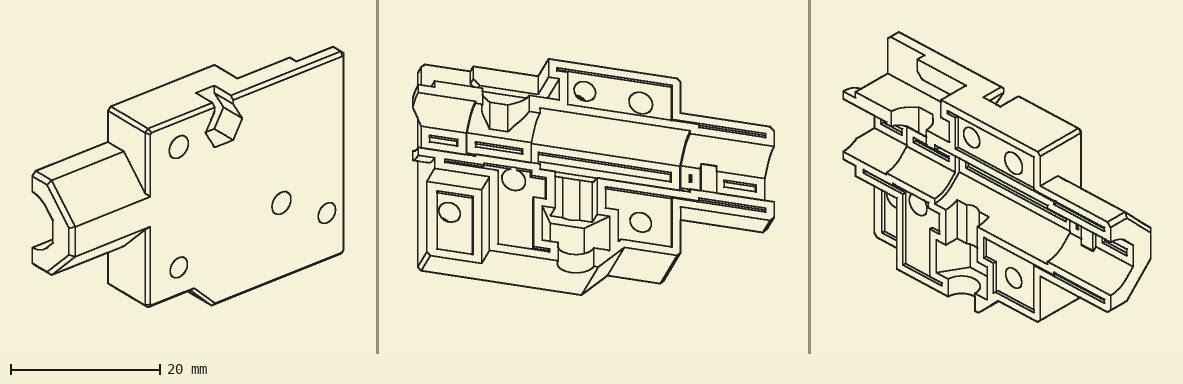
import cadquery as cq
import math


depth = 8.35
length = 49.8
body_front = 13.1
body_rear = 47.5
body_top = 12.55
body_bottom = -18.55
front_bottom = -14.9
slope_start = 20.95
edge_chamfer = 0.5

neck_half_height = 7.25
neck_flat_half = 2.3
neck_chamfer = 0.6
lip_radius = 5.5
lip_end_depth = 2.6

front_radius = 4.3
chamber_radius = 4.75
narrow_radius = 3.95
rear_radius = 4.25
flat_extra = 0.05
chamber_start = 11.75
chamber_end = 32.75
narrow_end = 41.8
channel_stretches = [
    (front_radius, 0.0, chamber_start),
    (chamber_radius, chamber_start, chamber_end),
    (narrow_radius, chamber_end, narrow_end),
    (rear_radius, narrow_end, length),
]

rib_front = 6.9
rib_rear = 9.05
rib_half_height = 2.2
rib_depth = 3.75

recess_front = 30.1
recess_bottom = 6.4
recess_depth = 6.22
shelf_front = 31.55
shelf_rear = 40.65
shelf_bottom = 9.7
shelf_depth = 4.85
shelf_corner = 0.9

port_radius = 3.25
port_y = 37.55

corner_front = 39.85
corner_top = -7.1
corner_depth = 3.65

screw_y = 27.75
screw_radius = 2.5
nut_corner_radius = 4.75
nut_top = -10.4
nut_bottom = -15.7
slot_half_width = 2.95
slot_top = -3.5
slot_depth = 2.2

small_hole = 3.0
large_hole = 3.3
nut_hole_y = 26.35
nut_hole_z = 8.65
holes = [
    (nut_hole_y, nut_hole_z, small_hole),
    (18.55, 8.15, large_hole),
    (36.3, -6.7, large_hole),
    (44.15, -11.05, small_hole),
    (18.55, -10.3, small_hole),
]

trap_corner_radius = 3.2
trap_floor = 4.4

rim = 1.2
rear_rim = 1.45
pocket_depth = 0.5


def box(x0, x1, y0, y1, z0, z1):
    size = (x1 - x0, y1 - y0, z1 - z0)
    return cq.Workplane("XY").box(*size, centered=False).translate((x0, y0, z0))


def side_prism(points, start, height):
    """Outline given in Y and Z, extruded along X."""
    return cq.Workplane("YZ", origin=(start, 0, 0)).polyline(points).close().extrude(height)


def flat_depth(radius):
    return radius + flat_extra


def flat_half(radius):
    """Half width of the flat, where the 45 degree tangents meet it."""
    return radius * math.sqrt(2) - flat_depth(radius)


def flattened_half_round(plane, radius, distance):
    """Half circle from X = 0 whose deep side becomes 45 degree tangents and a flat."""
    tangent = radius * math.sqrt(0.5)
    mid_x = radius * math.cos(math.radians(67.5))
    mid_v = radius * math.sin(math.radians(67.5))
    flat_x = flat_depth(radius)
    flat = flat_half(radius)
    return (
        plane.moveTo(0, -radius)
        .threePointArc((mid_x, -mid_v), (tangent, -tangent))
        .lineTo(flat_x, -flat)
        .lineTo(flat_x, flat)
        .lineTo(tangent, tangent)
        .threePointArc((mid_x, mid_v), (0, radius))
        .close()
        .extrude(distance)
    )


def make_body():
    slope_end = slope_start + front_bottom - body_bottom
    outline = [
        (body_front, front_bottom),
        (slope_start, front_bottom),
        (slope_end, body_bottom),
        (body_rear, body_bottom),
        (body_rear, body_top),
        (body_front, body_top),
    ]
    block = side_prism(outline, 0, depth)
    corners = block.edges("|X").edges("<Y or >Y")
    return corners.chamfer(edge_chamfer).faces(">X").edges().chamfer(edge_chamfer)


def make_neck():
    slope_x = depth - (neck_half_height - neck_flat_half)
    profile = [
        (0, -neck_half_height),
        (slope_x, -neck_half_height),
        (depth, -neck_flat_half),
        (depth, neck_flat_half),
        (slope_x, neck_half_height),
        (0, neck_half_height),
    ]
    neck_end = body_front + edge_chamfer
    neck = cq.Workplane("XZ").polyline(profile).close().extrude(-neck_end)
    return neck.faces("<Y").edges("not(<X)").chamfer(neck_chamfer)


def make_lip():
    lip_length = length - body_rear
    cylinder = cq.Workplane("XZ", origin=(0, body_rear, 0)).circle(lip_radius).extrude(-lip_length)
    taper = (
        cq.Workplane("XY", origin=(0, 0, -lip_radius))
        .polyline([
            (0, body_rear),
            (lip_end_depth + lip_length, body_rear),
            (lip_end_depth, length),
            (0, length),
        ])
        .close()
        .extrude(2 * lip_radius)
    )
    return cylinder.intersect(taper)


def cut_channel(part):
    for radius, start, end in channel_stretches:
        plane = cq.Workplane("XZ", origin=(0, start, 0))
        part = part.cut(flattened_half_round(plane, radius, start - end))
    rib_root = flat_depth(front_radius)
    rib = box(rib_depth, rib_root, rib_front, rib_rear, -rib_half_height, rib_half_height)
    return part.union(rib)


def cut_recesses(part):
    main = box(0, recess_depth, recess_front, body_rear, recess_bottom, shelf_bottom)
    upper_rear = box(0, recess_depth, shelf_rear, body_rear, shelf_bottom, body_top)
    corner = side_prism(
        [
            (shelf_rear - shelf_corner, shelf_bottom),
            (shelf_rear, shelf_bottom),
            (shelf_rear, shelf_bottom + shelf_corner),
        ],
        0,
        recess_depth,
    )
    shelf = box(0, shelf_depth, shelf_front, shelf_rear, shelf_bottom, body_top)
    lower_corner = box(0, corner_depth, corner_front, body_rear, body_bottom, corner_top)
    port_plane = cq.Workplane("XY", origin=(0, port_y, 0))
    port = flattened_half_round(port_plane, port_radius, recess_bottom)
    for tool in (main, upper_rear, corner, shelf, lower_corner, port):
        part = part.cut(tool)
    return part


def cut_screw_seat(part):
    floor = cq.Workplane("XY", origin=(0, screw_y, body_bottom))
    bore = floor.circle(screw_radius).extrude(slot_top - body_bottom)
    nut_plane = cq.Workplane("XY", origin=(0, screw_y, nut_bottom))
    nut = (
        nut_plane.transformed(rotate=(0, 0, 90))
        .polygon(6, 2 * nut_corner_radius)
        .extrude(nut_top - nut_bottom)
    )
    slot = box(
        0, slot_depth, screw_y - slot_half_width, screw_y + slot_half_width, nut_top, slot_top
    )
    return part.cut(bore).cut(nut).cut(slot)


def cut_holes(part):
    for y, z, diameter in holes:
        part = part.cut(cq.Workplane("YZ", origin=(0, y, z)).circle(diameter / 2).extrude(depth))
    return part


def cut_nut_trap(part):
    trap_length = depth - trap_floor
    hexagon = (
        cq.Workplane("YZ", origin=(trap_floor, nut_hole_y, nut_hole_z))
        .polygon(6, 2 * trap_corner_radius)
        .extrude(trap_length)
    )
    half_flat = trap_corner_radius / 2
    slot = box(
        trap_floor, depth, nut_hole_y - half_flat, nut_hole_y + half_flat, nut_hole_z, body_top
    )
    return part.cut(hexagon).cut(slot)


def cut_land_pockets(part):
    neck_side = neck_half_height - rim
    front_side = front_radius + rim
    chamber_side = chamber_radius + rim
    neck_pocket_rear = chamber_start - rim
    block_front = body_front + rim

    upper = [
        (recess_front - rim, chamber_side),
        (neck_pocket_rear, chamber_side),
        (neck_pocket_rear, front_side),
        (rim, front_side),
        (rim, neck_side),
        (block_front, neck_side),
        (block_front, body_top - rim),
        (shelf_front - rim, body_top - rim),
        (shelf_front - rim, shelf_bottom + rim),
        (recess_front - rim, shelf_bottom + rim),
    ]

    slot_front = screw_y - slot_half_width - rim
    nut_front = screw_y - nut_corner_radius - rim
    slope_sum = slope_start + front_bottom + rim * math.sqrt(2)
    lower_floor = front_bottom + rim
    lower_front = [
        (slot_front, -chamber_side),
        (slot_front, nut_top + rim),
        (nut_front, nut_top + rim),
        (nut_front, slope_sum - nut_front),
        (slope_sum - lower_floor, lower_floor),
        (block_front, lower_floor),
        (block_front, -neck_side),
        (rim, -neck_side),
        (rim, -front_side),
        (neck_pocket_rear, -front_side),
        (neck_pocket_rear, -chamber_side),
    ]

    slot_rear = screw_y + slot_half_width + rim
    nut_rear = screw_y + nut_corner_radius + rim
    bore_rear = screw_y + screw_radius + rim
    pocket_rear = body_rear - rear_rim
    lower_rear = [
        (pocket_rear, -rear_radius - rim),
        (narrow_end - rim, -rear_radius - rim),
        (narrow_end - rim, -narrow_radius - rim),
        (chamber_end + rim, -narrow_radius - rim),
        (chamber_end + rim, -chamber_side),
        (slot_rear, -chamber_side),
        (slot_rear, nut_top + rim),
        (nut_rear, nut_top + rim),
        (nut_rear, nut_bottom - rim),
        (bore_rear, nut_bottom - rim),
        (bore_rear, body_bottom + rim),
        (corner_front - rim, body_bottom + rim),
        (corner_front - rim, corner_top + rim),
        (pocket_rear, corner_top + rim),
    ]
    for outline in (upper, lower_front, lower_rear):
        part = part.cut(side_prism(outline, 0, pocket_depth))
    corner_pocket = box(
        corner_depth, corner_depth + pocket_depth,
        corner_front + rim, pocket_rear,
        body_bottom + rim, corner_top - rim,
    )
    return part.cut(corner_pocket)


def cut_floor_pockets(part):
    rear_floor_end = length + lip_end_depth - flat_depth(rear_radius)
    floors = [
        (front_radius, 0.0, rib_front),
        (front_radius, rib_rear, chamber_start),
        (chamber_radius, chamber_start, chamber_end),
        (narrow_radius, chamber_end, narrow_end),
        (rear_radius, narrow_end, rear_floor_end),
    ]
    for radius, start, end in floors:
        half = flat_half(radius) - rim
        floor = flat_depth(radius)
        part = part.cut(box(floor, floor + pocket_depth, start + rim, end - rim, -half, half))
    return part


result = make_body().union(make_neck()).union(make_lip())
result = cut_channel(result)
result = cut_recesses(result)
result = cut_screw_seat(result)
result = cut_holes(result)
result = cut_nut_trap(result)
result = cut_land_pockets(result)
result = cut_floor_pockets(result)